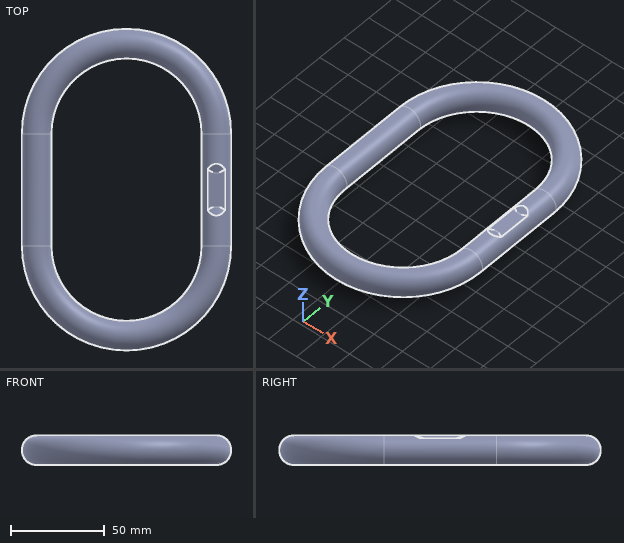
import cadquery as cq

link_length = 172.0
bar_diameter = 16.0
bend_radius = 48.0

flat_depth = 1.5
flat_length = 18.0
recess_length = 27.7
end_crown_radius = 18.0

bar_radius = bar_diameter / 2
straight_length = link_length - 2 * bend_radius - bar_diameter
half_straight = straight_length / 2


def make_link():
    """Sweep the round bar along two straight legs and two half-circle bends."""
    path = (
        cq.Workplane("XY")
        .moveTo(bend_radius, -half_straight)
        .lineTo(bend_radius, half_straight)
        .threePointArc((0, half_straight + bend_radius), (-bend_radius, half_straight))
        .lineTo(-bend_radius, -half_straight)
        .threePointArc((0, -half_straight - bend_radius), (bend_radius, -half_straight))
        .close()
    )
    section = cq.Workplane("XZ", origin=(bend_radius, -half_straight, 0)).circle(bar_radius)
    return section.sweep(path)


def make_flat_cutter():
    """Block that cuts the flat, less a cone at each end that leaves a crowned slope."""
    flat_height = bar_radius - flat_depth
    half_flat = flat_length / 2
    half_recess = recess_length / 2
    cutter = cq.Workplane("XY", origin=(bend_radius, 0, flat_height)).box(
        bar_diameter, recess_length, bar_radius, centered=(True, True, False)
    )
    cone_axis_height = flat_height - end_crown_radius
    slope = (
        cq.Workplane("XY", origin=(bend_radius, 0, cone_axis_height))
        .moveTo(0, half_flat)
        .lineTo(end_crown_radius, half_flat)
        .lineTo(end_crown_radius + flat_depth, half_recess)
        .lineTo(0, half_recess)
        .close()
        .revolve(360, (0, 0, 0), (0, 1, 0))
    )
    return cutter.cut(slope).cut(slope.mirror("XZ"))


result = make_link().cut(make_flat_cutter())